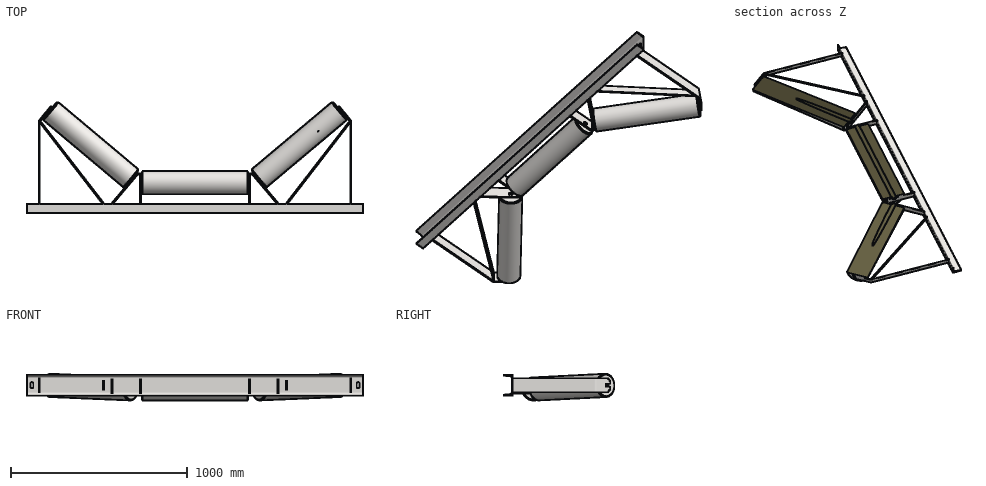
import cadquery as cq
import math


BEAM_LENGTH = 1900.0
BEAM_HEIGHT = 120.0
FLANGE_WIDTH = 51.5
WEB_THICKNESS = 4.8
FLANGE_THICKNESS = 9.0
FLANGE_SLOPE = 0.10
ROOT_RADIUS = 9.0
TOE_RADIUS = 3.0
MOUNT_SLOT_LENGTH = 34.0
MOUNT_SLOT_WIDTH = 15.0
MOUNT_SLOT_INSET = 28.0

ROLLER_DIAMETER = 133.0
ROLLER_LENGTH = 600.0
ROLLER_CHAMFER = 6.0
SHAFT_DIAMETER = 22.0
SHAFT_FLATS = 17.0
SHAFT_GAP = 4.0
TROUGH_ANGLE = 40.0
FORWARD_TILT = 1.87
CENTRE_ROLLER_Y = 120.0
INNER_SHAFT_Z = -20.5

PLATE_THICKNESS = 8.0
PLATE_HEIGHT = 80.0
BRACE_HEIGHT = 50.0
INNER_BRACKET_Z = -7.0
INNER_BRACKET_TOP = 173.0
INNER_BRACKET_CAP = 25.0
WING_SHAFT_DROP = 43.0
POST_X = 876.0
TAB_LENGTH = 106.0
TAB_CHAMFER = 18.0
TAB_BEND_RADIUS = 10.0
BRACE_FOOT_X = 522.0

COS_TROUGH = math.cos(math.radians(TROUGH_ANGLE))
SIN_TROUGH = math.sin(math.radians(TROUGH_ANGLE))
COS_TILT = math.cos(math.radians(FORWARD_TILT))
SIN_TILT = math.sin(math.radians(FORWARD_TILT))
SHAFT_OVERHANG = SHAFT_GAP + PLATE_THICKNESS
INNER_POST_X = ROLLER_LENGTH / 2 + SHAFT_GAP
INNER_FOLD_X = INNER_POST_X + INNER_BRACKET_CAP
INNER_FACE = INNER_FOLD_X * COS_TROUGH + INNER_BRACKET_TOP * SIN_TROUGH
OUTER_FACE = INNER_FACE + ROLLER_LENGTH * COS_TILT + 2 * SHAFT_GAP
POST_TOP_Y = (OUTER_FACE - POST_X * COS_TROUGH) / SIN_TROUGH
WING_X = INNER_FOLD_X + WING_SHAFT_DROP * SIN_TROUGH + SHAFT_GAP * COS_TROUGH
WING_Y = INNER_BRACKET_TOP - WING_SHAFT_DROP * COS_TROUGH + SHAFT_GAP * SIN_TROUGH

CENTRE_PLANE = cq.Plane(
    (-ROLLER_LENGTH / 2, CENTRE_ROLLER_Y, INNER_SHAFT_Z), xDir=(0, 1, 0), normal=(1, 0, 0)
)
WING_PLANE = cq.Plane(
    (WING_X, WING_Y, INNER_SHAFT_Z),
    xDir=(-SIN_TROUGH, COS_TROUGH, 0),
    normal=(COS_TROUGH * COS_TILT, SIN_TROUGH * COS_TILT, SIN_TILT),
)


def channel_beam():
    """Channel extruded along X, with a mounting slot through the web near each end."""
    half_height = BEAM_HEIGHT / 2
    half_taper = FLANGE_SLOPE * (FLANGE_WIDTH - WEB_THICKNESS) / 2
    toe_z = half_height - FLANGE_THICKNESS + half_taper
    root_z = half_height - FLANGE_THICKNESS - half_taper
    outline = [
        (0, -half_height),
        (0, half_height),
        (-FLANGE_WIDTH, half_height),
        (-FLANGE_WIDTH, toe_z),
        (-WEB_THICKNESS, root_z),
        (-WEB_THICKNESS, -root_z),
        (-FLANGE_WIDTH, -toe_z),
        (-FLANGE_WIDTH, -half_height),
    ]
    beam = cq.Workplane("YZ").polyline(outline).close().extrude(BEAM_LENGTH / 2, both=True)
    for y, z, radius in ((-WEB_THICKNESS, root_z, ROOT_RADIUS), (-FLANGE_WIDTH, toe_z, TOE_RADIUS)):
        for side in (1, -1):
            beam = beam.edges(cq.selectors.NearestToPointSelector((0, y, side * z))).fillet(radius)
    slot_x = BEAM_LENGTH / 2 - MOUNT_SLOT_INSET
    slots = (
        cq.Workplane("XZ")
        .pushPoints([(-slot_x, 0), (slot_x, 0)])
        .slot2D(MOUNT_SLOT_LENGTH, MOUNT_SLOT_WIDTH, 90)
        .extrude(2 * WEB_THICKNESS)
    )
    return beam.cut(slots)


def upright_plate(outline, height, mid_z=0.0):
    """Plan outline extruded to the given height about mid_z."""
    profile = cq.Workplane("XY", origin=(0, 0, mid_z)).polyline(outline).close()
    return profile.extrude(height / 2, both=True)


def outer_bracket():
    """Post from the web, bent inward at its top into the tab that carries the wing shaft."""
    outer_x = POST_X + PLATE_THICKNESS
    mitre_rise = PLATE_THICKNESS * math.tan(math.radians(TROUGH_ANGLE / 2))
    tip_x = POST_X - TAB_LENGTH * SIN_TROUGH
    tip_y = POST_TOP_Y + TAB_LENGTH * COS_TROUGH
    outline = [
        (POST_X, 0),
        (POST_X, POST_TOP_Y),
        (tip_x, tip_y),
        (tip_x + PLATE_THICKNESS * COS_TROUGH, tip_y + PLATE_THICKNESS * SIN_TROUGH),
        (outer_x, POST_TOP_Y + mitre_rise),
        (outer_x, 0),
    ]
    bracket = upright_plate(outline, PLATE_HEIGHT)
    inner_bend = cq.selectors.NearestToPointSelector((POST_X, POST_TOP_Y, 0))
    outer_bend = cq.selectors.NearestToPointSelector((outer_x, POST_TOP_Y + mitre_rise, 0))
    bracket = bracket.edges(inner_bend).fillet(TAB_BEND_RADIUS)
    bracket = bracket.edges(outer_bend).fillet(TAB_BEND_RADIUS + PLATE_THICKNESS)
    tip_face = cq.selectors.NearestToPointSelector((tip_x, tip_y, 0))
    tip_corners = bracket.faces(tip_face).edges("not |Z")
    return tip_corners.chamfer(TAB_CHAMFER)


def outer_brace():
    """Flat bar from the web to the inner face of the post, just below the bend."""
    top_y = POST_TOP_Y - PLATE_THICKNESS
    run = POST_X - BRACE_FOOT_X
    length = math.hypot(run, top_y)
    foot_width = PLATE_THICKNESS * length / top_y
    top_width = PLATE_THICKNESS * length / run
    outline = [
        (BRACE_FOOT_X, 0),
        (POST_X, top_y),
        (POST_X, top_y + top_width),
        (BRACE_FOOT_X - foot_width, 0),
    ]
    return upright_plate(outline, BRACE_HEIGHT)


def inner_bracket():
    """Folded plate: post beside the centre roller, flat top, and slope facing the wing roller."""
    inside_x = INNER_POST_X + PLATE_THICKNESS
    inside_top = INNER_BRACKET_TOP - PLATE_THICKNESS
    slope_run = SIN_TROUGH / COS_TROUGH
    foot_x = INNER_FOLD_X + INNER_BRACKET_TOP * slope_run
    inside_foot_x = foot_x - PLATE_THICKNESS / COS_TROUGH
    outline = [
        (INNER_POST_X, 0),
        (INNER_POST_X, INNER_BRACKET_TOP),
        (INNER_FOLD_X, INNER_BRACKET_TOP),
        (foot_x, 0),
        (inside_foot_x, 0),
        (inside_foot_x - inside_top * slope_run, inside_top),
        (inside_x, inside_top),
        (inside_x, 0),
    ]
    return upright_plate(outline, PLATE_HEIGHT, INNER_BRACKET_Z)


def roller(plane):
    """Roller with chamfered ends and a bore for its shaft."""
    solid = cq.Workplane(plane).circle(ROLLER_DIAMETER / 2).extrude(ROLLER_LENGTH)
    solid = solid.edges("%CIRCLE").chamfer(ROLLER_CHAMFER)
    bore = cq.Workplane(plane).circle(SHAFT_DIAMETER / 2).extrude(ROLLER_LENGTH)
    return solid.cut(bore)


def shaft(plane):
    """Round shaft through a roller, with two flats on each projecting end."""
    total_length = ROLLER_LENGTH + 2 * SHAFT_OVERHANG
    shaft_start = cq.Workplane(plane).workplane(offset=-SHAFT_OVERHANG)
    flat_bar = shaft_start.rect(SHAFT_DIAMETER, SHAFT_FLATS).extrude(total_length)
    flattened = shaft_start.circle(SHAFT_DIAMETER / 2).extrude(total_length).intersect(flat_bar)
    middle = cq.Workplane(plane).circle(SHAFT_DIAMETER / 2).extrude(ROLLER_LENGTH)
    return flattened.union(middle)


def tab_slot():
    """Slot from the seat of the wing shaft out through the tip of the tab."""
    return (
        cq.Workplane(WING_PLANE)
        .workplane(offset=ROLLER_LENGTH)
        .center(TAB_LENGTH / 2, 0)
        .rect(TAB_LENGTH, SHAFT_FLATS)
        .extrude(2 * SHAFT_OVERHANG)
    )


wing_roller = roller(WING_PLANE)
wing_shaft = shaft(WING_PLANE)
rollers = [roller(CENTRE_PLANE), wing_roller, wing_roller.mirror("YZ")]
shafts = [shaft(CENTRE_PLANE), wing_shaft, wing_shaft.mirror("YZ")]

brackets = outer_bracket().cut(tab_slot()).union(outer_brace()).union(inner_bracket())
frame = channel_beam().union(brackets).union(brackets.mirror("YZ"))
for seated_shaft in shafts:
    frame = frame.cut(seated_shaft)

result = cq.Compound.makeCompound(
    [frame.val()] + [body.val() for body in rollers] + [body.val() for body in shafts]
)